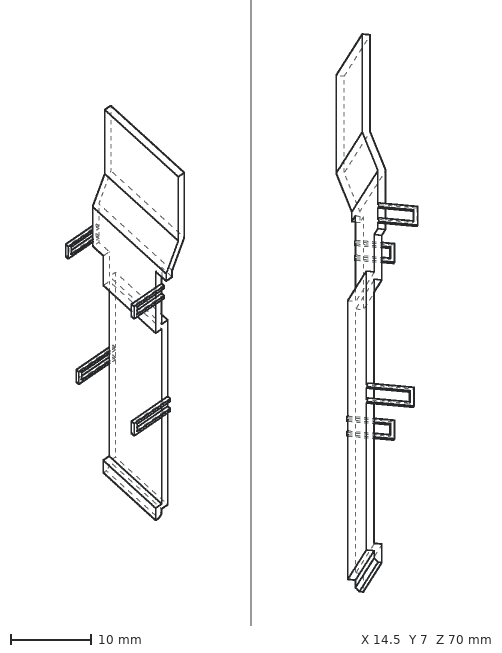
import cadquery as cq
import math

total_height = 70.0
plate_thickness = 1.0

head_width = 14.0
slope_top_z = 57.0
slope_bottom_z = 52.0
forward_step = 2.0

slope_angle = math.atan2(forward_step, slope_top_z - slope_bottom_z)
bend_offset = plate_thickness * math.tan(slope_angle / 2)

strip_width = 10.0
shoulder_overhang = (head_width - strip_width) / 2
right_shoulder_z = 50.5
left_shoulder_z = 44.0

upper_plate_bottom_z = 38.0
lower_plate_top_z = upper_plate_bottom_z + plate_thickness

foot_top_z = 2.5
lower_plate_bottom_z = foot_top_z - plate_thickness
foot_chamfer = 0.5

clip_thickness = 0.5
clip_height = 2.5
clip_front_y = -7.0
upper_left_clip_z = 44.78
upper_right_clip_z = 44.75
lower_left_clip_z = 21.25
lower_right_clip_z = 21.0

head_back_y = 0.0
head_front_y = head_back_y - plate_thickness
upper_back_y = head_back_y - forward_step
upper_front_y = upper_back_y - plate_thickness
lower_back_y = upper_back_y + plate_thickness
lower_front_y = upper_back_y

strip_left_x = -strip_width / 2
strip_right_x = strip_width / 2
head_left_x = strip_left_x - shoulder_overhang


def bent_plate():
    """Head, slope, joggle, strip and foot as one side profile, as wide as the head."""
    profile = [
        (head_back_y, total_height),
        (head_back_y, slope_top_z - bend_offset),
        (upper_back_y, slope_bottom_z - bend_offset),
        (upper_back_y, lower_plate_top_z),
        (lower_back_y, lower_plate_top_z),
        (lower_back_y, lower_plate_bottom_z),
        (lower_front_y, lower_plate_bottom_z),
        (lower_front_y, foot_chamfer),
        (lower_front_y - foot_chamfer, 0),
        (upper_front_y, 0),
        (upper_front_y, foot_top_z),
        (lower_front_y, foot_top_z),
        (lower_front_y, upper_plate_bottom_z),
        (upper_front_y, upper_plate_bottom_z),
        (upper_front_y, slope_bottom_z),
        (head_front_y, slope_top_z),
        (head_front_y, total_height),
    ]
    plate = cq.Workplane("YZ").polyline(profile).close().extrude(head_width)
    return plate.translate((head_left_x, 0, 0))


def shoulder_cut(left_x, shoulder_z):
    """Block removed beside the strip, below one shoulder."""
    depth = head_back_y - upper_front_y
    block = cq.Workplane("XY").box(shoulder_overhang, depth, shoulder_z, centered=False)
    return block.translate((left_x, upper_front_y, 0))


def clip(left_x, back_y, bottom_z):
    """U clip with two arms reaching forward from back_y, joined at the front."""
    length = back_y - clip_front_y
    outer = cq.Workplane("XY").box(clip_thickness, length, clip_height, centered=False)
    opening_length = length - clip_thickness
    opening_height = clip_height - 2 * clip_thickness
    opening = cq.Workplane("XY").box(clip_thickness, opening_length, opening_height, centered=False)
    opening = opening.translate((0, clip_thickness, clip_thickness))
    return outer.cut(opening).translate((left_x, clip_front_y, bottom_z))


result = bent_plate()
result = result.cut(shoulder_cut(head_left_x, left_shoulder_z))
result = result.cut(shoulder_cut(strip_right_x, right_shoulder_z))

clip_places = [
    (head_left_x - clip_thickness, upper_back_y, upper_left_clip_z),
    (strip_right_x, upper_back_y, upper_right_clip_z),
    (strip_left_x - clip_thickness, lower_back_y, lower_left_clip_z),
    (strip_right_x, lower_back_y, lower_right_clip_z),
]
for left_x, back_y, bottom_z in clip_places:
    result = result.union(clip(left_x, back_y, bottom_z))